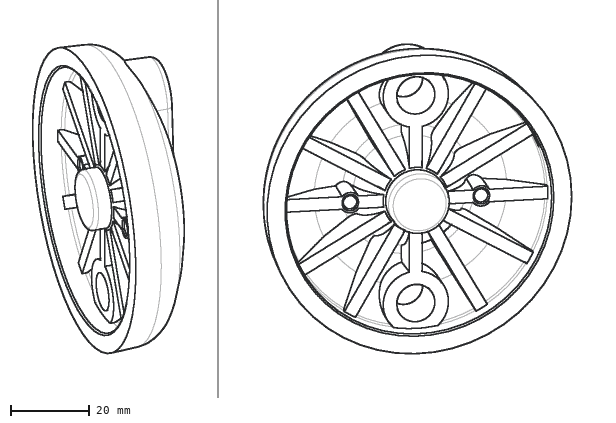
import cadquery as cq
import math


rim_radius = 39.5
depth = 22.0
rim_draft = 3.0
dome_radius = 70.3
dome_flat_radius = 10.9
dome_edge_fillet = 7.9

mouth_radius = 34.8
mouth_chamfer = 0.5
wall_draft = 2.0
floor_break_radius = 25.0
floor_break_y = 12.7
outer_floor_slope = 35.0
inner_floor_slope = 19.0
floor_edge_fillet = 1.0

cup_radius = 15.0
cup_center_y = 17.4
cup_base_fillet = 2.0
hub_radius = 7.9
hub_edge_fillet = 1.0
socket_radius = dome_flat_radius

rib_count = 12
rib_front_y = 5.0
rib_front_width = 3.3
rib_draft = 1.0

mount_offset = 27.5
mount_boss_radius = 8.45
mount_hole_front_radius = 5.0
mount_hole_back_radius = 4.75
pad_radius = 9.9
pad_front_y = 11.05
pad_back_y = 20.9
pad_draft = 2.0
pad_flare = 4.5
pad_inner_end = 3.95
pad_edge_fillet = 1.9

screw_offset = 17.0
screw_boss_radius = 2.7
screw_boss_back_y = floor_break_y + 3.95
screw_hole_radius = 1.7
screw_hole_tip_radius = 0.6
screw_hole_depth = 9.5
screw_chamfer = 0.4


def tan(degrees):
    return math.tan(math.radians(degrees))


def turn(profile):
    """Revolve a closed (radius, Y) profile about the Y axis."""
    return profile.close().revolve(360, (0, 0, 0), (0, 1, 0))


def circle_edges(solid, radius, y):
    """Circular edges about the Y axis with the given radius and height."""

    def matches(edge):
        if edge.geomType() != "CIRCLE":
            return False
        return math.isclose(edge.radius(), radius) and math.isclose(edge.arcCenter().y, y)

    return solid.edges().filter(matches)


def along_y(x, z, y_start, y_end, start_radius, end_radius):
    """Round bar or cone frustum parallel to Y, centred on (x, z)."""
    frustum = turn(
        cq.Workplane("XY")
        .moveTo(0, y_start)
        .lineTo(start_radius, y_start)
        .lineTo(end_radius, y_end)
        .lineTo(0, y_end)
    )
    return frustum.translate((x, 0, z))


def make_dome():
    dome_center_y = depth - math.sqrt(dome_radius**2 - dome_flat_radius**2)

    def dome_y(radius):
        return dome_center_y + math.sqrt(dome_radius**2 - radius**2)

    edge_radius = rim_radius
    for _ in range(20):
        edge_radius = rim_radius - dome_y(edge_radius) * tan(rim_draft)
    edge_y = dome_y(edge_radius)
    middle_radius = (edge_radius + dome_flat_radius) / 2
    dome = turn(
        cq.Workplane("XY")
        .lineTo(rim_radius, 0)
        .lineTo(edge_radius, edge_y)
        .threePointArc((middle_radius, dome_y(middle_radius)), (dome_flat_radius, depth))
        .lineTo(0, depth)
    )
    return circle_edges(dome, edge_radius, edge_y).fillet(dome_edge_fillet)


def make_pad():
    """Rear pad of the upper mounting hole: round outside, flanks spreading toward the axis."""
    flare = math.radians(pad_flare)
    tangent_x = pad_radius * math.cos(flare)
    tangent_z = mount_offset + pad_radius * math.sin(flare)
    end_x = tangent_x + (tangent_z - pad_inner_end) * math.tan(flare)
    return (
        cq.Workplane("XZ", origin=(0, pad_front_y, 0))
        .moveTo(-end_x, pad_inner_end)
        .lineTo(-tangent_x, tangent_z)
        .threePointArc((0, mount_offset + pad_radius), (tangent_x, tangent_z))
        .lineTo(end_x, pad_inner_end)
        .close()
        .extrude(pad_front_y - pad_back_y, taper=pad_draft)
        .faces(">Y")
        .edges("not <Z")
        .fillet(pad_edge_fillet)
    )


def make_cavity():
    """Ring-shaped hollow between the rim wall and the central hub and cup."""
    wall_front_radius = mouth_radius - mouth_chamfer

    wall_slope = tan(wall_draft)
    floor_slope = tan(outer_floor_slope)
    corner_y = floor_break_y - (wall_front_radius - floor_break_radius) * floor_slope
    corner_y = (corner_y - mouth_chamfer * wall_slope * floor_slope) / (1 - wall_slope * floor_slope)
    corner_radius = wall_front_radius - (corner_y - mouth_chamfer) * wall_slope

    inner_slope = math.radians(inner_floor_slope)
    cone_y_at_axis = floor_break_y + floor_break_radius * math.tan(inner_slope)
    cone_distance = (cone_y_at_axis - cup_center_y) * math.cos(inner_slope)
    foot_angle = math.asin(cone_distance / cup_radius) - inner_slope
    foot_radius = cup_radius * math.cos(foot_angle)
    foot_y = cup_center_y + cup_radius * math.sin(foot_angle)
    cup_middle = cup_radius * math.sin(math.pi / 4)

    ring = turn(
        cq.Workplane("XY")
        .moveTo(0, 0)
        .lineTo(mouth_radius, 0)
        .lineTo(wall_front_radius, mouth_chamfer)
        .lineTo(corner_radius, corner_y)
        .lineTo(floor_break_radius, floor_break_y)
        .lineTo(foot_radius, foot_y)
        .threePointArc((cup_middle, cup_center_y - cup_middle), (0, cup_center_y - cup_radius))
    )
    ring = circle_edges(ring, corner_radius, corner_y).fillet(floor_edge_fillet)
    ring = circle_edges(ring, foot_radius, foot_y).fillet(cup_base_fillet)
    hub = along_y(0, 0, 0, cup_center_y, hub_radius, hub_radius)
    hub = hub.faces("<Y").edges().fillet(hub_edge_fillet)
    return ring.cut(hub)


def make_rib(angle):
    """One drafted rib from the axis to the rim wall."""
    front = rib_front_width / 2
    back = front + (depth - rib_front_y) * tan(rib_draft)
    return (
        cq.Workplane("YZ")
        .polyline([(rib_front_y, -front), (rib_front_y, front), (depth, back), (depth, -back)])
        .close()
        .extrude(mouth_radius)
        .rotate((0, 0, 0), (0, 1, 0), angle)
    )


def make_socket():
    """Rear recess: a round bore ending in a hemisphere concentric with the cup."""
    bore = along_y(0, 0, cup_center_y, depth, socket_radius, socket_radius)
    return bore.union(cq.Workplane("XY").sphere(socket_radius).translate((0, cup_center_y, 0)))


def make_screw_hole(x):
    """Chamfered blind hole that narrows toward its bottom."""
    chamfer_end_y = rib_front_y + screw_chamfer
    hole_end_y = rib_front_y + screw_hole_depth
    mouth = along_y(x, 0, rib_front_y, chamfer_end_y, screw_hole_radius + screw_chamfer, screw_hole_radius)
    return mouth.union(along_y(x, 0, chamfer_end_y, hole_end_y, screw_hole_radius, screw_hole_tip_radius))


upper_pad = make_pad()
envelope = make_dome().union(upper_pad).union(upper_pad.mirror("XY"))

inserts = make_rib(0)
for index in range(1, rib_count):
    inserts = inserts.union(make_rib(index * 360 / rib_count))
for side in (-1, 1):
    inserts = inserts.union(
        along_y(0, side * mount_offset, rib_front_y, pad_back_y, mount_boss_radius, mount_boss_radius)
    )
    inserts = inserts.union(
        along_y(side * screw_offset, 0, rib_front_y, screw_boss_back_y, screw_boss_radius, screw_boss_radius)
    )
inserts = inserts.intersect(envelope)

result = envelope.cut(make_cavity()).union(inserts).cut(make_socket())
for side in (-1, 1):
    mount_z = side * mount_offset
    result = result.cut(along_y(0, mount_z, 0, depth, mount_hole_front_radius, mount_hole_back_radius))
    result = result.cut(make_screw_hole(side * screw_offset))